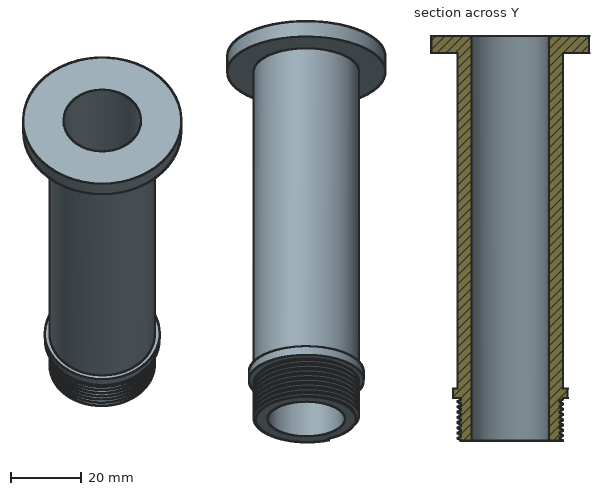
import cadquery as cq

total_height = 115
flange_diameter = 45.0
flange_thickness = 5.0
tube_diameter = 30.0
bore_diameter = 22.0
collar_diameter = 32.7
collar_thickness = 2.8
collar_bottom = 12.2

thread_length = 12.0
thread_pitch = 1.5
thread_depth = 0.9
crest_width = thread_pitch / 8
ridge_base_width = thread_pitch * 7 / 8
root_overlap = 0.1
thread_start_angle = 180

crest_radius = tube_diameter / 2
root_radius = crest_radius - thread_depth


def cylinder(diameter, bottom, height):
    return cq.Workplane("XY").workplane(offset=bottom).circle(diameter / 2).extrude(height)


def thread_ridge():
    """Helical ridge, sunk slightly into the core; its first turn starts half below the bottom face."""
    inner_radius = root_radius - root_overlap
    helix = cq.Wire.makeHelix(thread_pitch, thread_length, inner_radius)
    profile = cq.Workplane("XZ").polyline([
        (inner_radius, -ridge_base_width / 2),
        (crest_radius, -crest_width / 2),
        (crest_radius, crest_width / 2),
        (inner_radius, ridge_base_width / 2),
    ]).close()
    ridge = profile.sweep(cq.Workplane(obj=helix), isFrenet=True)
    return ridge.rotate((0, 0, 0), (0, 0, 1), thread_start_angle)


core = cylinder(2 * root_radius, -thread_pitch, thread_length + 2 * thread_pitch)
trim = cylinder(flange_diameter, -2 * thread_pitch, 2 * thread_pitch)
threaded_end = core.union(thread_ridge()).cut(trim)

collar = cylinder(collar_diameter, collar_bottom, collar_thickness)
tube = cylinder(tube_diameter, collar_bottom, total_height - collar_bottom)
flange = cylinder(flange_diameter, total_height - flange_thickness, flange_thickness)
body = collar.union(tube).union(flange).union(threaded_end)

result = body.cut(cylinder(bore_diameter, 0, total_height))